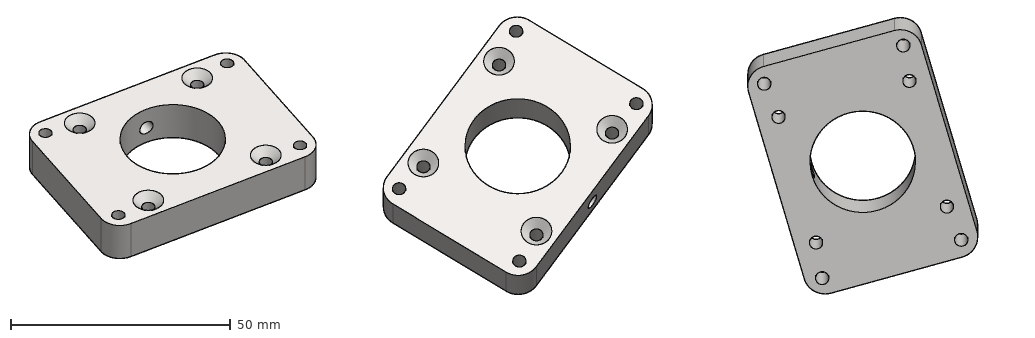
import cadquery as cq

width = 41.0
length = 56
thickness = 10.0
corner_radius = 5.0

bore_diameter = 24.0
screw_diameter = 3.0
countersink_diameter = 7.0
countersink_angle = 90
corner_spacing_x = 33.0
corner_spacing_y = 48.0
countersunk_spacing = 31.0
side_hole_diameter = 3.5
side_hole_height = 4.5

plate = (
    cq.Workplane("XY")
    .box(width, length, thickness, centered=(True, True, False))
    .edges("|Z")
    .fillet(corner_radius)
)

plate = plate.faces(">Z").workplane(origin=(0, 0, thickness)).hole(bore_diameter)

plate = (
    plate.faces(">Z")
    .workplane(origin=(0, 0, thickness))
    .rarray(corner_spacing_x, corner_spacing_y, 2, 2)
    .hole(screw_diameter)
)

plate = (
    plate.faces(">Z")
    .workplane(origin=(0, 0, thickness))
    .rarray(countersunk_spacing, countersunk_spacing, 2, 2)
    .cskHole(screw_diameter, countersink_diameter, countersink_angle)
)

side_hole = (
    cq.Workplane("YZ", origin=(-width / 2, 0, 0))
    .center(0, side_hole_height)
    .circle(side_hole_diameter / 2)
    .extrude(width / 2)
)

result = plate.cut(side_hole)